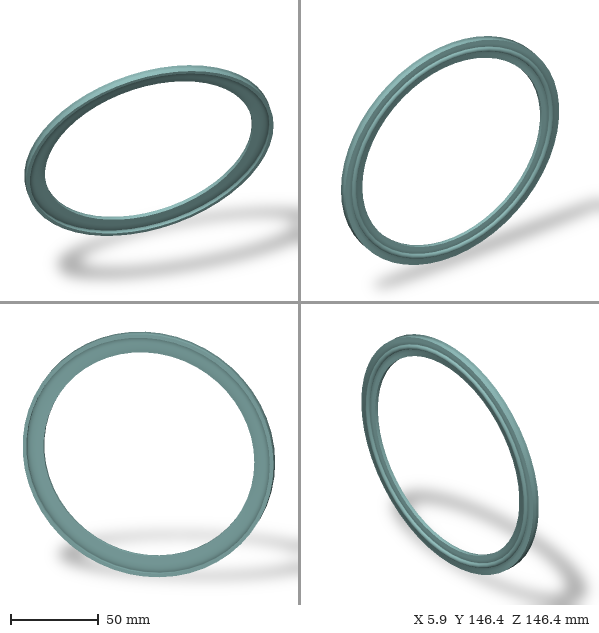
import cadquery as cq

outer_radius = 73.2
bore_radius = 61.5
overall_thickness = 5.9
web_thickness = 2.2
bead_radius = 1.5
bead_circle_radius = 67.3

ring_thickness = overall_thickness - bead_radius
recess_radius = outer_radius - web_thickness

ring = (
    cq.Workplane("YZ")
    .circle(outer_radius)
    .circle(bore_radius)
    .extrude(ring_thickness)
)

recess = (
    cq.Workplane("YZ", origin=(web_thickness, 0, 0))
    .circle(recess_radius)
    .extrude(ring_thickness - web_thickness)
)

bead = cq.Workplane(
    cq.Solid.makeTorus(
        bead_circle_radius,
        bead_radius,
        cq.Vector(0, 0, 0),
        cq.Vector(1, 0, 0),
    )
)

result = ring.cut(recess).union(bead)